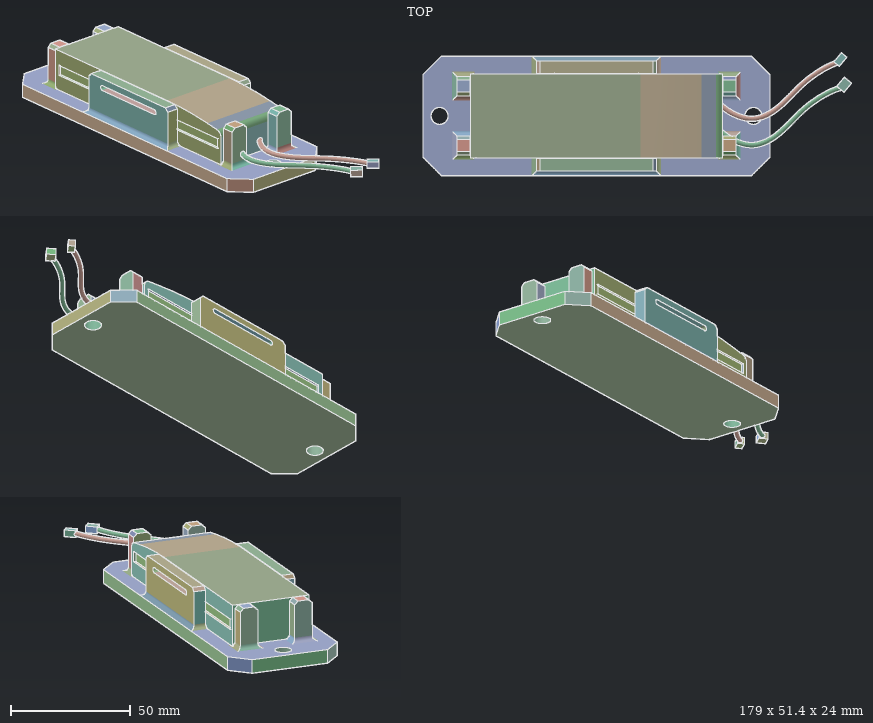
import cadquery as cq
import math


plate_length = 145.0
plate_width = 50.0
plate_thickness = 6.0
plate_corner = 7.8
screw_hole_diameter = 7.0
screw_hole_inset = 7.0
total_height = 24.0

pack_length = 105.0
pack_width = 35.0
pack_clearance = 0.25
pack_flat_length = 71.0
pack_droop_length = 25.5
pack_droop_drop = 1.9
pack_nose_radius = 3.0
groove_length = 100.5
groove_height = 4.5
groove_depth = 1.0
groove_middle_height = 15.0

post_length = 5.5
post_width = 8.0
post_offset = 12.4
wall_length = 50.0
wall_edge_inset = 2.0
holder_chamfer = 1.5
foot_radius = 2.0
slot_length = 35.0
slot_height = 2.25
slot_middle_height = 19.75

lead_diameter = 2.25
lead_height = 11.0
lead_embed = 1.0
connector_length = 5.0
connector_height = 3.0
connector_heading = 50.0
upper_connector_width = 3.0
lower_connector_width = 4.0
upper_lead_exit = 3.9
lower_lead_exit = -7.1
upper_lead_end = (100.2, 21.62)
lower_lead_end = (101.79, 11.1)
lead_bends = [(6.0, -3.7), (12.7, -5.1), (19.6, -3.0), (33.3, 9.2), (40.1, 14.4)]

pack_height = total_height - plate_thickness
pack_end = pack_length / 2
wall_outer_face = plate_width / 2 - wall_edge_inset
wall_inner_face = pack_width / 2 + pack_clearance


def block(length, width, height, x, y, z):
    """Box centred on (x, y) that stands on height z."""
    return cq.Workplane("XY").box(length, width, height, centered=(True, True, False)).translate((x, y, z))


def make_pack():
    """Flat-topped pack whose top bends down to a rounded nose at +X."""
    start = -pack_end
    bend_start = start + pack_flat_length
    bend_end = bend_start + pack_droop_length
    bend_radius = (pack_droop_length**2 + pack_droop_drop**2) / (2 * pack_droop_drop)
    bend_angle = math.asin(pack_droop_length / bend_radius)
    bend_middle = (
        bend_start + bend_radius * math.sin(bend_angle / 2),
        total_height - bend_radius * (1 - math.cos(bend_angle / 2)),
    )
    bend_low = total_height - pack_droop_drop
    nose_height = bend_low - (pack_end - bend_end) * math.tan(bend_angle)
    pack = (
        cq.Workplane("XZ")
        .moveTo(start, plate_thickness)
        .lineTo(start, total_height)
        .lineTo(bend_start, total_height)
        .threePointArc(bend_middle, (bend_end, bend_low))
        .lineTo(pack_end, nose_height)
        .lineTo(pack_end, plate_thickness)
        .close()
        .extrude(pack_width / 2, both=True)
    )
    nose_edge = cq.selectors.NearestToPointSelector((pack_end, 0, nose_height))
    pack = pack.edges(nose_edge).fillet(pack_nose_radius)
    for side in (-1, 1):
        pack = pack.cut(
            block(
                groove_length,
                2 * groove_depth,
                groove_height,
                0,
                side * pack_width / 2,
                groove_middle_height - groove_height / 2,
            )
        )
    return pack


def make_lead(exit_y, end, connector_width):
    """Round lead that curves out of the pack's +X end into its rectangular connector."""
    heading = math.radians(connector_heading)
    path_end = (end[0] + lead_embed * math.cos(heading), end[1] + lead_embed * math.sin(heading))
    points = [(pack_end, exit_y)]
    points += [(pack_end + dx, exit_y + dy) for dx, dy in lead_bends]
    points += [path_end]
    path = cq.Workplane("XY", origin=(0, 0, lead_height)).spline(points)
    tangent = path.val().tangentAt(0)
    section = cq.Plane(origin=(pack_end, exit_y, lead_height), normal=tangent)
    lead = cq.Workplane(section).circle(lead_diameter / 2).sweep(path)
    stub = cq.Workplane(section).circle(lead_diameter / 2).extrude(-lead_diameter)
    connector = (
        cq.Workplane("XY")
        .box(connector_length, connector_width, connector_height, centered=(False, True, True))
        .rotate((0, 0, 0), (0, 0, 1), connector_heading)
        .translate((end[0], end[1], lead_height))
    )
    lead = lead.union(stub).union(connector)
    return lead.cut(block(pack_length, pack_width, pack_height, 0, 0, plate_thickness))


def make_post(end, side):
    """Corner post with its two top edges along X chamfered."""
    x = end * (pack_end + pack_clearance + post_length / 2)
    post = block(post_length, post_width, pack_height, x, side * post_offset, plate_thickness)
    return post.faces(">Z").edges("|X").chamfer(holder_chamfer)


def make_wall(side):
    """Side wall with chamfered top ends and a strap slot."""
    y = side * (wall_outer_face + wall_inner_face) / 2
    thickness = wall_outer_face - wall_inner_face
    wall = block(wall_length, thickness, pack_height, 0, y, plate_thickness)
    wall = wall.faces(">Z").edges("|Y").chamfer(holder_chamfer)
    slot = (
        cq.Workplane("XZ", origin=(0, y, slot_middle_height))
        .slot2D(slot_length, slot_height)
        .extrude(thickness, both=True)
    )
    return wall.cut(slot)


def make_tray():
    """Plate with filleted posts and walls; the fillets stop at the plate's outline."""
    margin = 2 * foot_radius
    tray = block(plate_length + margin, plate_width + margin, plate_thickness, 0, 0, 0)
    for side in (-1, 1):
        tray = tray.union(make_wall(side))
        for end in (-1, 1):
            tray = tray.union(make_post(end, side))
    foot_zone = cq.selectors.BoxSelector(
        (-plate_length / 2, -plate_width / 2, plate_thickness - foot_radius / 2),
        (plate_length / 2, plate_width / 2, plate_thickness + foot_radius / 2),
    )
    tray = tray.edges(foot_zone).fillet(foot_radius)
    outline = block(plate_length, plate_width, total_height, 0, 0, 0).edges("|Z").chamfer(plate_corner)
    tray = tray.intersect(outline)
    holes = (
        cq.Workplane("XY")
        .rarray(plate_length - 2 * screw_hole_inset, 1, 2, 1)
        .circle(screw_hole_diameter / 2)
        .extrude(plate_thickness)
    )
    pack_space = block(pack_length, pack_width, pack_height, 0, 0, plate_thickness)
    return tray.cut(holes).cut(pack_space)


pack = make_pack()
leads = [
    make_lead(upper_lead_exit, upper_lead_end, upper_connector_width),
    make_lead(lower_lead_exit, lower_lead_end, lower_connector_width),
]
tray = make_tray()
for lead in leads:
    tray = tray.cut(lead)

result = cq.Compound.makeCompound([tray.val(), pack.val(), *[lead.val() for lead in leads]])